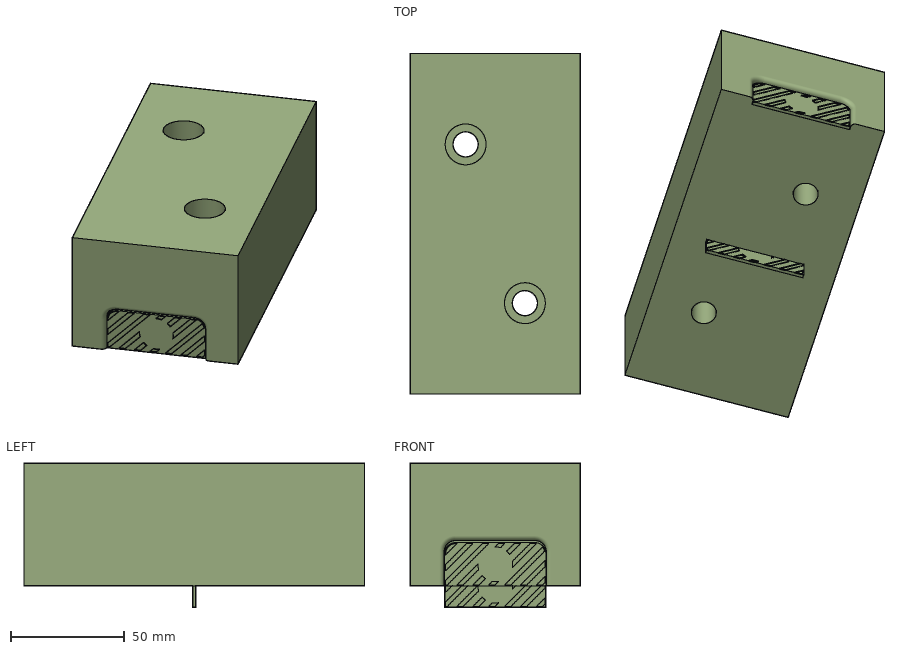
import cadquery as cq
import math

BLOCK_WIDTH = 75.0
BLOCK_LENGTH = 150.0
BLOCK_HEIGHT = 54.0

BOLT_DIAMETER = 11.0
COUNTERBORE_DIAMETER = 18.0
COUNTERBORE_DEPTH = 18.0
BOLT_X = 13.0
BOLT_Y = 35.0

PLATE_WIDTH = 44.5
PLATE_HEIGHT = 19.0
PLATE_THICKNESS = 1.5
PLATE_CORNER_RADIUS = 4.8
MIDDLE_PLATE_DROP = 9.5
GROOVE_WIDTH = 2.0
GROOVE_PITCH = 5.0
GROOVE_DEPTH = 0.5
GROOVE_OFFSET = -0.5
GROOVE_ANGLE = 45.0
RIM_WIDTH = 0.5
MEDALLION_DIAMETER = 15.3

RECESS_WIDTH = 45.0
RECESS_HEIGHT = 20.0
RECESS_CORNER_RADIUS = 5.0
MOUTH_RADIUS = 2.0
RECESS_DEPTH = MOUTH_RADIUS + PLATE_THICKNESS

BLOCK_FRONT = -BLOCK_LENGTH / 2
FRONT_PLATE_PLACE = (BLOCK_FRONT + MOUTH_RADIUS, 0.0)
MIDDLE_PLATE_PLACE = (-PLATE_THICKNESS / 2, -MIDDLE_PLATE_DROP)


def upright_prism(width, bottom, top, corner_radius, front, depth):
    """Prism running in +Y from Y = front, with its two top corners rounded."""
    prism = cq.Workplane("XY").box(width, depth, top - bottom, centered=(True, False, False))
    prism = prism.edges("|Y and >Z").fillet(corner_radius)
    return prism.translate((0, front, bottom))


def make_grooves():
    """Diagonal bars kept inside the plate rim and clear of the round medallion."""
    reach = PLATE_WIDTH + PLATE_HEIGHT
    middle_z = PLATE_HEIGHT / 2
    count_each_side = math.ceil(reach / 2 / GROOVE_PITCH)
    offsets = [
        (0, GROOVE_OFFSET + index * GROOVE_PITCH)
        for index in range(-count_each_side, count_each_side + 1)
    ]
    bars = (
        cq.Workplane("XZ")
        .pushPoints(offsets)
        .rect(reach, GROOVE_WIDTH)
        .extrude(-GROOVE_DEPTH)
        .rotate((0, 0, 0), (0, 1, 0), -GROOVE_ANGLE)
        .translate((0, 0, middle_z))
    )
    field = upright_prism(
        PLATE_WIDTH - 2 * RIM_WIDTH,
        RIM_WIDTH,
        PLATE_HEIGHT - RIM_WIDTH,
        PLATE_CORNER_RADIUS - RIM_WIDTH,
        0,
        GROOVE_DEPTH,
    )
    medallion = (
        cq.Workplane("XZ")
        .center(0, middle_z)
        .circle(MEDALLION_DIAMETER / 2)
        .extrude(-GROOVE_DEPTH)
    )
    return bars.intersect(field).cut(medallion)


def make_plate(front, bottom):
    """Grooved name plate with its front face at Y = front and its lower edge at Z = bottom."""
    plate = upright_prism(PLATE_WIDTH, 0, PLATE_HEIGHT, PLATE_CORNER_RADIUS, 0, PLATE_THICKNESS)
    return plate.cut(make_grooves()).translate((0, front, bottom))


def make_block():
    block = cq.Workplane("XY").box(
        BLOCK_WIDTH, BLOCK_LENGTH, BLOCK_HEIGHT, centered=(True, True, False)
    )

    block = block.cut(
        upright_prism(
            RECESS_WIDTH, 0, RECESS_HEIGHT, RECESS_CORNER_RADIUS, BLOCK_FRONT, RECESS_DEPTH
        )
    )
    mouth_point = (0, BLOCK_FRONT, RECESS_HEIGHT)
    block = block.edges(cq.selectors.NearestToPointSelector(mouth_point)).fillet(MOUTH_RADIUS)

    middle_front, middle_bottom = MIDDLE_PLATE_PLACE
    block = block.cut(
        upright_prism(
            PLATE_WIDTH,
            middle_bottom,
            middle_bottom + PLATE_HEIGHT,
            PLATE_CORNER_RADIUS,
            middle_front,
            PLATE_THICKNESS,
        )
    )

    return (
        block.faces(">Z")
        .workplane(origin=(0, 0, BLOCK_HEIGHT))
        .pushPoints([(-BOLT_X, BOLT_Y), (BOLT_X, -BOLT_Y)])
        .cboreHole(BOLT_DIAMETER, COUNTERBORE_DIAMETER, COUNTERBORE_DEPTH)
    )


block = make_block()
plates = [make_plate(*place) for place in (FRONT_PLATE_PLACE, MIDDLE_PLATE_PLACE)]

result = cq.Compound.makeCompound([block.val(), *[plate.val() for plate in plates]])